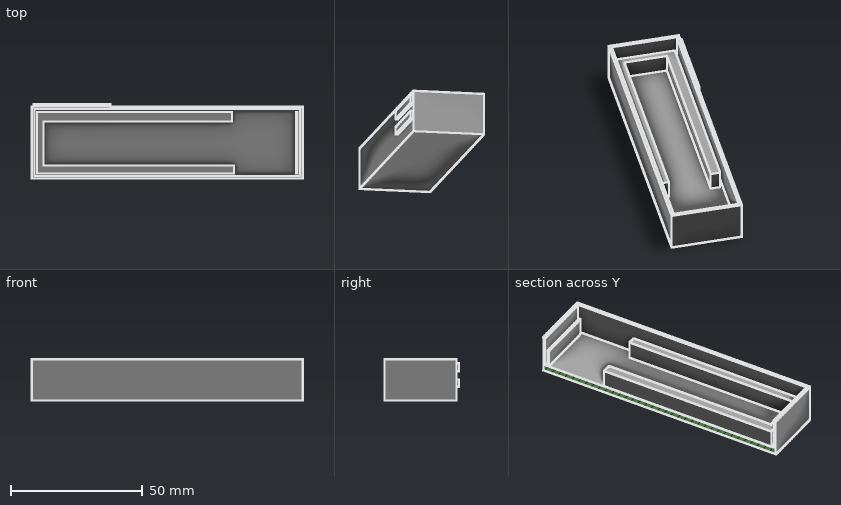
import cadquery as cq

length = 103.4
width = 27.5
height = 15.8
wall = 1.0
floor = 3.0

rail_height = 7.2
rail_gap = 1.0
end_arm_thickness = 2.5
front_arm_thickness = 3.1
back_arm_thickness = 3.7
front_arm_end = 77.3
back_arm_end = 76.3
strip_thickness = 0.6

band_depth = 0.9
band_start = 0.6
band_end = 30.0
upper_band = (11.2, 14.3)
lower_band = (5.3, 8.1)

rail_left = wall + rail_gap
rail_right = length - wall - rail_gap
rail_front = wall + rail_gap
rail_back = width - wall - rail_gap


def block(x_range, y_range, z_range):
    """Box spanning the given (low, high) limits along each axis."""
    limits = (x_range, y_range, z_range)
    sizes = [high - low for low, high in limits]
    corner = tuple(low for low, high in limits)
    return cq.Workplane("XY").box(*sizes, centered=False).translate(corner)


def tray():
    """Open-topped box with a flat floor."""
    outside = block((0, length), (0, width), (0, height))
    cavity = block((wall, length - wall), (wall, width - wall), (floor, height))
    return outside.cut(cavity)


def floor_rib(x_range, y_range):
    """Upright rib rooted in the floor."""
    return block(x_range, y_range, (0, floor + rail_height))


def rails():
    """U-shaped rail open toward +X, and the separate strip at the +X end."""
    full_depth = (rail_front, rail_back)
    end_arm = floor_rib((rail_left, rail_left + end_arm_thickness), full_depth)
    front_arm = floor_rib((rail_left, front_arm_end), (rail_front, rail_front + front_arm_thickness))
    back_arm = floor_rib((rail_left, back_arm_end), (rail_back - back_arm_thickness, rail_back))
    strip = floor_rib((rail_right - strip_thickness, rail_right), full_depth)
    return end_arm.union(front_arm).union(back_arm).union(strip)


def label_band(z_range):
    """Raised band on the outer face of the +Y wall."""
    return block((band_start, band_end), (width - wall, width + band_depth), z_range)


result = tray().union(rails())
for band in (upper_band, lower_band):
    result = result.union(label_band(band))